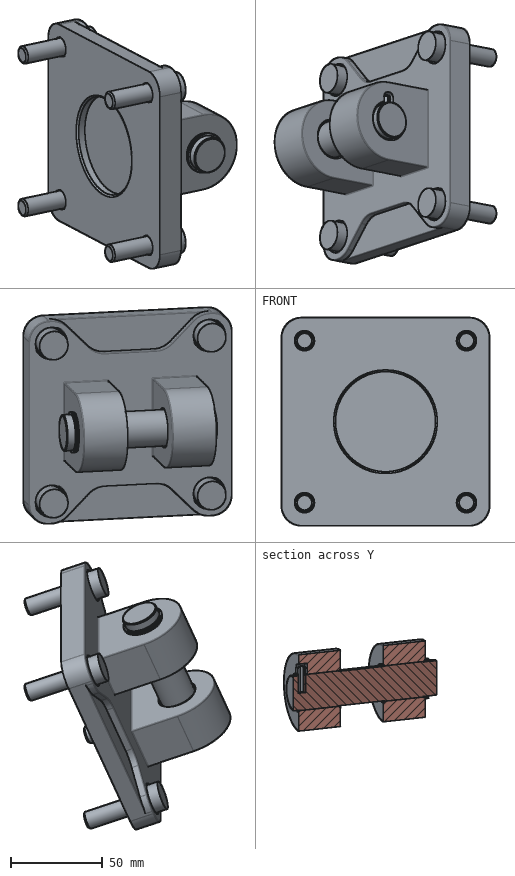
import cadquery as cq
import math


PLATE_SIDE = 114.5
PLATE_THICKNESS = 14.0
PLATE_CORNER_RADIUS = 11.2
EDGE_ROUND = 0.4
SPIGOT_DIAMETER = 55.0
SPIGOT_DEPTH = 5.0
SPIGOT_CHAMFER = 1.0

PIVOT_Y = 41.0
EAR_RADIUS = 22.0
EAR_THICKNESS = 25.0
EAR_GAP = 25.0
EAR_OUTER_X = EAR_GAP / 2 + EAR_THICKNESS
EAR_STARTS = (-EAR_OUTER_X, EAR_GAP / 2)
PIVOT_DIAMETER = 20.0
BORE_CHAMFER = 1.0

SCREW_PITCH = 89.0
SCREW_OFFSET = SCREW_PITCH / 2
SCREW_POSITIONS = [(x, z) for x in (-SCREW_OFFSET, SCREW_OFFSET) for z in (-SCREW_OFFSET, SCREW_OFFSET)]
SHANK_DIAMETER = 10.0
SHANK_PROJECTION = 25.1
SHANK_CHAMFER = 0.9
HEAD_DIAMETER = 16.0
HEAD_HEIGHT = 10.0
CLEARANCE_DIAMETER = 11.0
COUNTERBORE_DIAMETER = 18.0
COUNTERBORE_DEPTH = 4.0
HEAD_SEAT_Y = PLATE_THICKNESS - COUNTERBORE_DEPTH

RECESS_DEPTH = COUNTERBORE_DEPTH
RECESS_FLOOR_Y = PLATE_THICKNESS - RECESS_DEPTH
RECESS_FLOOR_HALF = 14.2
RECESS_SLOPE_ANGLE = math.radians(45)
BOSS_RADIUS = PLATE_SIDE / 2 - SCREW_OFFSET
RECESS_OVERRUN = 5.7

PIN_START_X = -40.6
PIN_END_X = 44.2
PIN_CHAMFER = 0.52
COLLAR_DIAMETER = 22.5
COLLAR_THICKNESS = 1.0
COLLAR_START_X = 38.4

SPRING_DIAMETER = 4.4
SPRING_BORE = 1.8
SPRING_SLIT = 0.8
SPRING_CHAMFER = 0.8
SPRING_TOP_Z = 14.7
SPRING_BOTTOM_Z = 0.0
SPRING_LENGTH = SPRING_TOP_Z - SPRING_BOTTOM_Z
SPRING_X = -EAR_OUTER_X + SPRING_DIAMETER / 2
SLOT_WIDTH = 6.2
SLOT_TOP_Z = 16.4
SLOT_DEPTH = 5.0


def cylinder_y(diameter, start, length, x=0.0, z=0.0):
    """Cylinder along +Y that begins at y = start."""
    return cq.Workplane(
        cq.Solid.makeCylinder(diameter / 2, length, cq.Vector(x, start, z), cq.Vector(0, 1, 0))
    )


def cylinder_x(diameter, start, length):
    """Cylinder along +X on the pivot axis that begins at x = start."""
    return cq.Workplane(
        cq.Solid.makeCylinder(diameter / 2, length, cq.Vector(start, PIVOT_Y, 0), cq.Vector(1, 0, 0))
    )


def spring_rod(diameter):
    """Upright rod on the spring pin axis."""
    base = cq.Vector(SPRING_X, PIVOT_Y, SPRING_BOTTOM_Z)
    return cq.Workplane(cq.Solid.makeCylinder(diameter / 2, SPRING_LENGTH, base))


def countersink(diameter, chamfer, mouth, direction):
    """Cone that chamfers the mouth of a hole at 45 degrees, narrowing along the direction."""
    radius = diameter / 2
    cone = cq.Solid.makeCone(radius + chamfer, radius, chamfer, cq.Vector(*mouth), cq.Vector(*direction))
    return cq.Workplane(cone)


def edge_recess():
    """Cutter for the valley between the two upper screw bosses, with a rounded lip at the top edge."""
    sine = math.sin(RECESS_SLOPE_ANGLE)
    cosine = math.cos(RECESS_SLOPE_ANGLE)
    half_angle = RECESS_SLOPE_ANGLE / 2
    top = PLATE_SIDE / 2

    slope_top = (SCREW_OFFSET - BOSS_RADIUS * sine, SCREW_OFFSET + BOSS_RADIUS * cosine)
    slope_foot_x = RECESS_FLOOR_HALF + BOSS_RADIUS * sine
    slope_foot_z = slope_top[1] - (slope_top[0] - slope_foot_x) * math.tan(RECESS_SLOPE_ANGLE)
    floor_center_z = slope_foot_z + BOSS_RADIUS * cosine
    floor_z = floor_center_z - BOSS_RADIUS
    boss_mid = (
        SCREW_OFFSET - BOSS_RADIUS * math.sin(half_angle),
        SCREW_OFFSET + BOSS_RADIUS * math.cos(half_angle),
    )
    floor_mid = (
        RECESS_FLOOR_HALF + BOSS_RADIUS * math.sin(half_angle),
        floor_center_z - BOSS_RADIUS * math.cos(half_angle),
    )

    lowest_y = RECESS_FLOOR_Y - EDGE_ROUND
    outline = (
        cq.Workplane("XZ", origin=(0, lowest_y, 0))
        .moveTo(-SCREW_OFFSET, top + RECESS_OVERRUN)
        .lineTo(-SCREW_OFFSET, top)
        .threePointArc((-boss_mid[0], boss_mid[1]), (-slope_top[0], slope_top[1]))
        .lineTo(-slope_foot_x, slope_foot_z)
        .threePointArc((-floor_mid[0], floor_mid[1]), (-RECESS_FLOOR_HALF, floor_z))
        .lineTo(RECESS_FLOOR_HALF, floor_z)
        .threePointArc(floor_mid, (slope_foot_x, slope_foot_z))
        .lineTo(*slope_top)
        .threePointArc(boss_mid, (SCREW_OFFSET, top))
        .lineTo(SCREW_OFFSET, top + RECESS_OVERRUN)
        .close()
    )
    cutter = outline.extrude(lowest_y - PLATE_THICKNESS)

    floor = (
        cq.Workplane("YZ", origin=(-PLATE_SIDE / 2, 0, 0))
        .moveTo(lowest_y, 0)
        .lineTo(lowest_y, top)
        .radiusArc((RECESS_FLOOR_Y, top - EDGE_ROUND), EDGE_ROUND)
        .lineTo(RECESS_FLOOR_Y, 0)
        .close()
        .extrude(PLATE_SIDE)
    )
    return cutter.cut(floor)


def make_plate():
    """Square plate with the two edge recesses, before any hole is cut."""
    plate = (
        cq.Workplane("XZ")
        .rect(PLATE_SIDE, PLATE_SIDE)
        .extrude(-PLATE_THICKNESS)
        .edges("|Y")
        .fillet(PLATE_CORNER_RADIUS)
    )
    upper_recess = edge_recess()
    plate = plate.cut(upper_recess).cut(upper_recess.mirror("XY"))
    return plate.faces(">Y").edges().fillet(EDGE_ROUND)


def make_ear(start_x):
    """Round-ended ear that begins at x = start_x and stands on the plate."""
    length = PIVOT_Y - PLATE_THICKNESS
    return (
        cq.Workplane("YZ", origin=(start_x, 0, 0))
        .moveTo(PLATE_THICKNESS, -EAR_RADIUS)
        .line(length, 0)
        .threePointArc((PIVOT_Y + EAR_RADIUS, 0), (PIVOT_Y, EAR_RADIUS))
        .line(-length, 0)
        .close()
        .extrude(EAR_THICKNESS)
    )


def ear_edges(start_y, end_y):
    """Selector for the edges around both ears from y = start_y to y = end_y."""
    margin = 1.1
    reach_x = EAR_OUTER_X + margin
    reach_z = EAR_RADIUS + margin
    return cq.selectors.BoxSelector((-reach_x, start_y, -reach_z), (reach_x, end_y, reach_z))


def add_rounded_ears(plate):
    """Join both ears to the plate, round their edges and fillet them into the plate."""
    tolerance = 0.06
    body = plate
    for start_x in EAR_STARTS:
        body = body.union(make_ear(start_x))
    side_edges = ear_edges(PLATE_THICKNESS + tolerance, PIVOT_Y + 2 * EAR_RADIUS)
    body = body.faces("|X").edges(side_edges).fillet(EDGE_ROUND)
    base_edges = ear_edges(PLATE_THICKNESS - tolerance, PLATE_THICKNESS + tolerance)
    return body.edges(base_edges).fillet(EDGE_ROUND)


def pivot_bore(start_x):
    """Cutter for the pivot bore of one ear, chamfered at both mouths."""
    end_x = start_x + EAR_THICKNESS
    bore = cylinder_x(PIVOT_DIAMETER, start_x, EAR_THICKNESS)
    bore = bore.union(countersink(PIVOT_DIAMETER, BORE_CHAMFER, (start_x, PIVOT_Y, 0), (1, 0, 0)))
    return bore.union(countersink(PIVOT_DIAMETER, BORE_CHAMFER, (end_x, PIVOT_Y, 0), (-1, 0, 0)))


def spring_slot():
    """Round-topped slot in the outer face of the -X ear that clears the spring pin."""
    radius = SLOT_WIDTH / 2
    straight = SLOT_TOP_Z - radius
    return (
        cq.Workplane("YZ", origin=(-EAR_OUTER_X, PIVOT_Y, 0))
        .moveTo(-radius, 0)
        .lineTo(-radius, straight)
        .threePointArc((0, SLOT_TOP_Z), (radius, straight))
        .lineTo(radius, 0)
        .close()
        .extrude(SLOT_DEPTH)
    )


def make_clevis():
    """Plate and ears with the bores, slot, spigot recess and counterbored screw holes cut."""
    clevis = add_rounded_ears(make_plate())
    for start_x in EAR_STARTS:
        clevis = clevis.cut(pivot_bore(start_x))
    clevis = clevis.cut(spring_slot())

    clevis = clevis.cut(cylinder_y(SPIGOT_DIAMETER, 0, SPIGOT_DEPTH))
    clevis = clevis.cut(countersink(SPIGOT_DIAMETER, SPIGOT_CHAMFER, (0, 0, 0), (0, 1, 0)))

    for x, z in SCREW_POSITIONS:
        clevis = clevis.cut(cylinder_y(CLEARANCE_DIAMETER, 0, PLATE_THICKNESS, x, z))
        clevis = clevis.cut(cylinder_y(COUNTERBORE_DIAMETER, HEAD_SEAT_Y, COUNTERBORE_DEPTH, x, z))
    return clevis


def make_screw(x, z):
    """Cap screw pointing to -Y, its head seated in the counterbore."""
    shank = cylinder_y(SHANK_DIAMETER, -SHANK_PROJECTION, SHANK_PROJECTION + HEAD_SEAT_Y, x, z)
    shank = shank.faces("<Y").chamfer(SHANK_CHAMFER)
    return shank.union(cylinder_y(HEAD_DIAMETER, HEAD_SEAT_Y, HEAD_HEIGHT, x, z))


def make_pivot_pin():
    """Chamfered pin with its retaining collar and the cross hole that seats the spring pin."""
    pin = cylinder_x(PIVOT_DIAMETER, PIN_START_X, PIN_END_X - PIN_START_X)
    pin = pin.faces("<X or >X").chamfer(PIN_CHAMFER)
    pin = pin.union(cylinder_x(COLLAR_DIAMETER, COLLAR_START_X, COLLAR_THICKNESS))
    return pin.cut(spring_rod(SPRING_DIAMETER))


def make_spring_pin():
    """Slotted tube, its slit facing -X."""
    tube = spring_rod(SPRING_DIAMETER).faces(">Z").chamfer(SPRING_CHAMFER, SPRING_CHAMFER / 2)
    slit = (
        cq.Workplane("XY", origin=(SPRING_X, PIVOT_Y, SPRING_BOTTOM_Z))
        .rect(SPRING_DIAMETER, SPRING_SLIT)
        .extrude(SPRING_LENGTH)
        .translate((-SPRING_DIAMETER / 2, 0, 0))
    )
    return tube.cut(spring_rod(SPRING_BORE)).cut(slit)


clevis = make_clevis()
pivot_pin = make_pivot_pin()
spring_pin = make_spring_pin()
screws = [make_screw(x, z).val() for x, z in SCREW_POSITIONS]

result = cq.Compound.makeCompound([clevis.val(), pivot_pin.val(), spring_pin.val(), *screws])